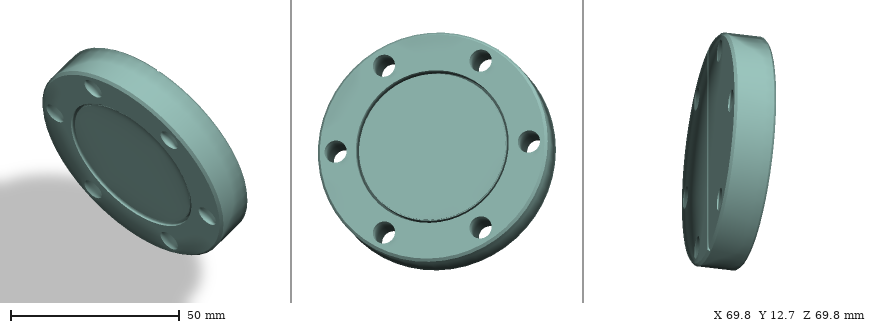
import cadquery as cq
import math

FLANGE_DIAMETER = 69.85
FLANGE_THICKNESS = 12.7
RIM_CHAMFER = 0.8
FRONT_Y = -FLANGE_THICKNESS / 2
BACK_Y = FLANGE_THICKNESS / 2

BOLT_HOLE_COUNT = 6
BOLT_HOLE_DIAMETER = 6.73
BOLT_CIRCLE_DIAMETER = 58.72

RECESS_DIAMETER = 46.48
RECESS_DEPTH = 4.0
CENTRE_DISC_DIAMETER = 44.83
CENTRE_DISC_TOP_DIAMETER = 44.37
CENTRE_DISC_SETBACK = 0.6
CENTRE_DISC_STEP = 0.25

GROOVE_DEPTH = 0.7
GROOVE_MOUTH_WIDTH = 1.4
GROOVE_FLOOR_WIDTH = 0.6


def cylinder_along_y(diameter, start_y, length):
    """Solid cylinder on the flange axis, growing toward +Y from start_y."""
    plane = cq.Plane(origin=(0, start_y, 0), xDir=(1, 0, 0), normal=(0, 1, 0))
    return cq.Workplane(plane).circle(diameter / 2).extrude(length)


def flange_body():
    body = cylinder_along_y(FLANGE_DIAMETER, FRONT_Y, FLANGE_THICKNESS)
    return body.edges("%CIRCLE").chamfer(RIM_CHAMFER)


def bolt_holes():
    hole = cylinder_along_y(BOLT_HOLE_DIAMETER, FRONT_Y, FLANGE_THICKNESS)
    holes = cq.Workplane()
    for index in range(BOLT_HOLE_COUNT):
        angle = 2 * math.pi * index / BOLT_HOLE_COUNT
        x = BOLT_CIRCLE_DIAMETER / 2 * math.cos(angle)
        z = BOLT_CIRCLE_DIAMETER / 2 * math.sin(angle)
        holes = holes.add(hole.translate((x, 0, z)))
    return holes.combine()


def front_recess():
    """Recess volume: a bore minus the stepped centre disc left standing in it."""
    floor_y = FRONT_Y + RECESS_DEPTH
    disc_top_y = FRONT_Y + CENTRE_DISC_SETBACK
    step_y = disc_top_y + CENTRE_DISC_STEP
    bore = cylinder_along_y(RECESS_DIAMETER, FRONT_Y, RECESS_DEPTH)
    disc_base = cylinder_along_y(CENTRE_DISC_DIAMETER, step_y, floor_y - step_y)
    disc_top = cylinder_along_y(CENTRE_DISC_TOP_DIAMETER, disc_top_y, floor_y - disc_top_y)
    return bore.cut(disc_base).cut(disc_top)


def back_groove():
    """Trapezoidal groove running the full height of the back face along Z."""
    floor_y = BACK_Y - GROOVE_DEPTH
    profile = [
        (-GROOVE_MOUTH_WIDTH / 2, BACK_Y),
        (-GROOVE_FLOOR_WIDTH / 2, floor_y),
        (GROOVE_FLOOR_WIDTH / 2, floor_y),
        (GROOVE_MOUTH_WIDTH / 2, BACK_Y),
    ]
    return cq.Workplane("XY").polyline(profile).close().extrude(FLANGE_DIAMETER / 2, both=True)


result = flange_body().cut(bolt_holes()).cut(front_recess()).cut(back_groove())